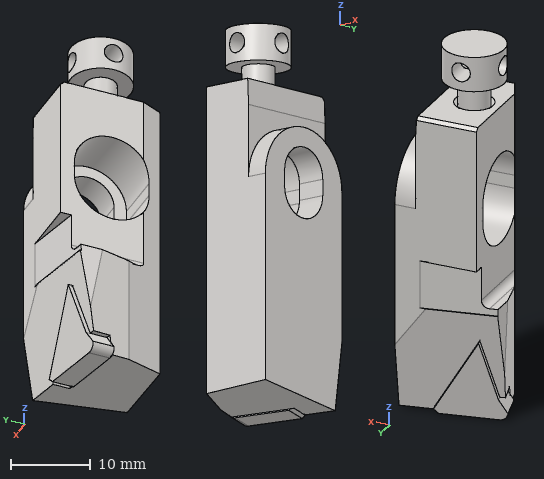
import cadquery as cq
import math

TOTAL_HEIGHT = 49.85
HALF_WIDTH = 7.15

HOLDER_TOP = 41.2
LEFT_X = -3.6
BACK_X = 7.65
STEP_X = 4.85
STEP_TOP_X = 4.7
TAPER_START_Z = 37.8
SHOULDER_Z = 28.55
BEVEL_FRONT_X = -2.3
BEVEL_END_Y = -4.3
TOP_CHAMFER = 0.45

LEDGE_Z = 15.85
LEDGE_FILLET = 1.05
HEAD_KNEE_Y = -1.75
HEAD_SLOPE = 0.23
FACET_X = -5.7
FACET_LEAN = 0.045

BOTTOM_Z = 2.05
BOTTOM_SLOPE_X = 0.026
BOTTOM_SLOPE_Y = 0.137

RELIEF_TOP_Z = 21.45
RELIEF_KNEE_Z = 14.95
RELIEF_UPPER_Y = 6.35
RELIEF_LOWER_Y = 4.4
RELIEF_SKEW = 0.19
RELIEF_LEAN = 0.14

SLOT_WIDTH = 7.1
SLOT_HEIGHT = 9.15
COUNTERBORE_WIDTH = 10.45
COUNTERBORE_HEIGHT = 12.25
COUNTERBORE_FLOOR_X = 3.75

HEAD_DIAMETER = 8.25
HEAD_BOTTOM_Z = 44.55
HEAD_RIM_Z = 49.3
SHANK_DIAMETER = 4.2
SHANK_END_Z = 37.35
CROSS_HOLE_DIAMETER = 2.55
CROSS_HOLE_Z = 47.05
COUNTERSINK = 0.5

INSERT_PROUD = 0.65
INSERT_THICKNESS = 3.25
INSERT_BASE_V = 0.1
TIP_U = -6.45
TIP_RADIUS = 1.1
NOTCH_U = -5.3
NOTCH_V = 3.1
INSERT_TOP_U = -3.0
INSERT_TOP_V = 11.2
INSERT_FOOT_U = 2.6
FOOT_CHAMFER = 0.6
HEEL_GAP = 0.5

FAR = 49.85


def relief_plane(offset):
    """Lower relief plane moved outward by offset; its normal points into the holder."""
    normal = cq.Vector(RELIEF_SKEW, -1, RELIEF_LEAN).normalized()
    origin = cq.Vector(0, RELIEF_LOWER_Y, 0) - normal * offset
    return cq.Plane(origin=origin, xDir=(1, RELIEF_SKEW, 0), normal=normal)


def slot_tool(width, height, start_x, end_x):
    return (
        cq.Workplane("YZ", origin=(start_x, 0, SHOULDER_Z))
        .slot2D(height, width, 90)
        .extrude(end_x - start_x)
    )


def make_shank():
    section = [
        (BEVEL_FRONT_X, -HALF_WIDTH),
        (BACK_X, -HALF_WIDTH),
        (BACK_X, HALF_WIDTH),
        (LEFT_X, HALF_WIDTH),
        (LEFT_X, BEVEL_END_Y),
    ]
    shank = cq.Workplane("XY").polyline(section).close().extrude(HOLDER_TOP)
    shank = shank.edges("|X and >Y and >Z").chamfer(TOP_CHAMFER)

    rear_step = (
        cq.Workplane("XZ", origin=(0, HALF_WIDTH, 0))
        .moveTo(STEP_TOP_X, HOLDER_TOP)
        .lineTo(STEP_X, TAPER_START_Z)
        .lineTo(STEP_X, SHOULDER_Z)
        .lineTo(BACK_X, SHOULDER_Z)
        .lineTo(BACK_X, HOLDER_TOP)
        .close()
        .extrude(2 * HALF_WIDTH)
    )
    shoulder = (
        cq.Workplane("YZ", origin=(STEP_X, 0, SHOULDER_Z))
        .circle(HALF_WIDTH)
        .extrude(BACK_X - STEP_X)
    )
    return shank.cut(rear_step.cut(shoulder))


def make_head():
    bevel_slope = (BEVEL_FRONT_X - LEFT_X) / (HALF_WIDTH + BEVEL_END_Y)
    knee_x = LEFT_X - bevel_slope * (HEAD_KNEE_Y - BEVEL_END_Y)
    peak_x = knee_x - HEAD_SLOPE * (HALF_WIDTH - HEAD_KNEE_Y)
    section = [
        (LEFT_X, BEVEL_END_Y),
        (knee_x, HEAD_KNEE_Y),
        (peak_x, HALF_WIDTH),
        (LEFT_X, HALF_WIDTH),
    ]
    head = cq.Workplane("XY").polyline(section).close().extrude(HOLDER_TOP)

    outline = (
        cq.Workplane("XZ", origin=(0, HALF_WIDTH, 0))
        .moveTo(LEFT_X, 0)
        .lineTo(LEFT_X, LEDGE_Z + LEDGE_FILLET)
        .radiusArc((LEFT_X - LEDGE_FILLET, LEDGE_Z), LEDGE_FILLET)
        .lineTo(FACET_X, LEDGE_Z)
        .lineTo(FACET_X - FACET_LEAN * LEDGE_Z, 0)
        .close()
        .extrude(2 * HALF_WIDTH)
    )
    return head.intersect(outline)


def bottom_tool():
    plane = cq.Plane(
        origin=(BACK_X, -HALF_WIDTH, BOTTOM_Z),
        xDir=(1, 0, BOTTOM_SLOPE_X),
        normal=(BOTTOM_SLOPE_X, -BOTTOM_SLOPE_Y, -1),
    )
    return cq.Workplane(plane).rect(FAR, FAR).extrude(FAR)


def upper_relief_tool():
    reach = 2 * HALF_WIDTH
    return (
        cq.Workplane("XY", origin=(0, 0, RELIEF_KNEE_Z))
        .moveTo(-reach, RELIEF_UPPER_Y - RELIEF_SKEW * reach)
        .lineTo(reach, RELIEF_UPPER_Y + RELIEF_SKEW * reach)
        .lineTo(-reach, reach)
        .close()
        .extrude(RELIEF_TOP_Z - RELIEF_KNEE_Z)
    )


def lower_relief_tool():
    below_knee = cq.Workplane("XY").rect(FAR, FAR).extrude(RELIEF_KNEE_Z)
    return cq.Workplane(relief_plane(0)).rect(FAR, FAR).extrude(-FAR).intersect(below_knee)


def tip_notch_tool():
    """Opening in the holder around the projecting cutting tip."""
    return (
        cq.Workplane(relief_plane(INSERT_PROUD))
        .moveTo(NOTCH_U, NOTCH_V)
        .lineTo(NOTCH_U, 0)
        .lineTo(2 * TIP_U, 0)
        .lineTo(2 * TIP_U, NOTCH_V)
        .close()
        .extrude(INSERT_THICKNESS)
    )


def heel_notch_tool():
    """Clearance in the holder around the rear lower corner of the insert."""
    heel_u = INSERT_FOOT_U + FOOT_CHAMFER
    heel_v = INSERT_BASE_V + FOOT_CHAMFER
    return (
        cq.Workplane(relief_plane(INSERT_PROUD))
        .moveTo(INSERT_FOOT_U, -FOOT_CHAMFER)
        .lineTo(INSERT_FOOT_U, heel_v)
        .lineTo(heel_u, heel_v)
        .lineTo(heel_u + HEEL_GAP, -FOOT_CHAMFER)
        .close()
        .extrude(INSERT_THICKNESS)
    )


def make_insert():
    tip_v = INSERT_BASE_V + TIP_RADIUS
    arc_angle = math.radians(225)
    tip_center_u = TIP_U + TIP_RADIUS
    arc_middle = (
        tip_center_u + TIP_RADIUS * math.cos(arc_angle),
        tip_v + TIP_RADIUS * math.sin(arc_angle),
    )
    return (
        cq.Workplane(relief_plane(INSERT_PROUD))
        .moveTo(TIP_U, tip_v)
        .threePointArc(arc_middle, (tip_center_u, INSERT_BASE_V))
        .lineTo(INSERT_FOOT_U, INSERT_BASE_V)
        .lineTo(INSERT_FOOT_U + FOOT_CHAMFER, INSERT_BASE_V + FOOT_CHAMFER)
        .lineTo(INSERT_TOP_U, INSERT_TOP_V)
        .lineTo(NOTCH_U, NOTCH_V)
        .close()
        .extrude(INSERT_THICKNESS)
    )


def make_screw():
    head_radius = HEAD_DIAMETER / 2
    shank_radius = SHANK_DIAMETER / 2
    dome_rise = TOTAL_HEIGHT - HEAD_RIM_Z
    dome_radius = (head_radius**2 + dome_rise**2) / (2 * dome_rise)
    screw = (
        cq.Workplane("XZ")
        .moveTo(0, SHANK_END_Z)
        .lineTo(shank_radius, SHANK_END_Z)
        .lineTo(shank_radius, HEAD_BOTTOM_Z)
        .lineTo(head_radius, HEAD_BOTTOM_Z)
        .lineTo(head_radius, HEAD_RIM_Z)
        .radiusArc((0, TOTAL_HEIGHT), -dome_radius)
        .close()
        .revolve(360, (0, 0, 0), (0, 1, 0))
    )
    for side in ("XZ", "YZ"):
        hole = (
            cq.Workplane(side, origin=(0, 0, CROSS_HOLE_Z))
            .circle(CROSS_HOLE_DIAMETER / 2)
            .extrude(HEAD_DIAMETER, both=True)
        )
        screw = screw.cut(hole)
    return screw


def screw_hole_tool():
    radius = SHANK_DIAMETER / 2
    return (
        cq.Workplane("XZ")
        .moveTo(0, SHANK_END_Z)
        .lineTo(radius, SHANK_END_Z)
        .lineTo(radius, HOLDER_TOP - COUNTERSINK)
        .lineTo(radius + COUNTERSINK, HOLDER_TOP)
        .lineTo(0, HOLDER_TOP)
        .close()
        .revolve(360, (0, 0, 0), (0, 1, 0))
    )


def make_holder(insert):
    holder = make_shank().union(make_head())
    holder = holder.cut(bottom_tool())
    holder = holder.cut(upper_relief_tool()).cut(lower_relief_tool())
    holder = holder.cut(slot_tool(SLOT_WIDTH, SLOT_HEIGHT, LEFT_X, BACK_X))
    holder = holder.cut(
        slot_tool(COUNTERBORE_WIDTH, COUNTERBORE_HEIGHT, LEFT_X, COUNTERBORE_FLOOR_X)
    )
    holder = holder.cut(screw_hole_tool())
    return holder.cut(tip_notch_tool()).cut(heel_notch_tool()).cut(insert)


insert = make_insert()
holder = make_holder(insert)
screw = make_screw()

result = cq.Compound.makeCompound([holder.val(), screw.val(), insert.val()])